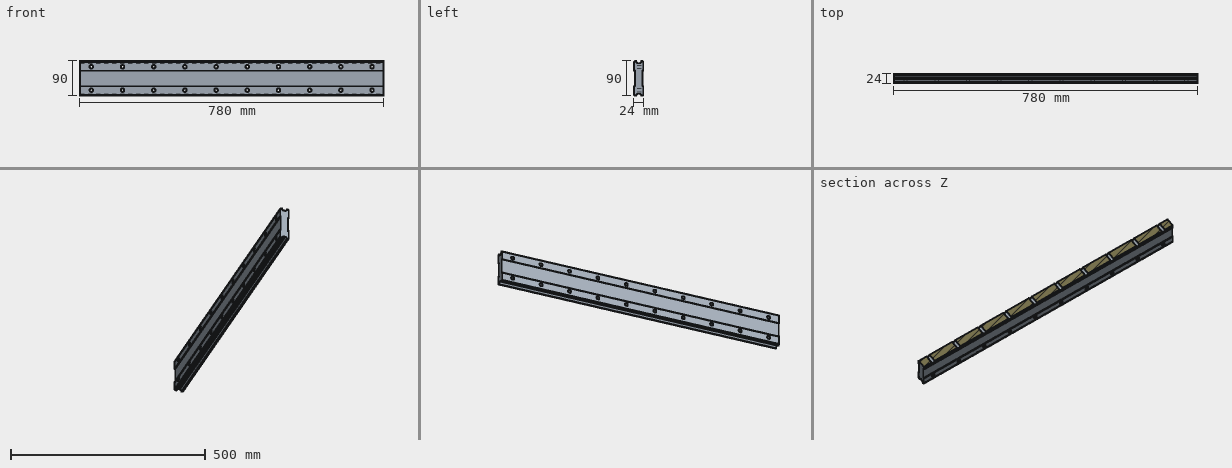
import cadquery as cq

length = 780.0
thickness = 24.0
height = 90.0

bevel = 2.7

recess_height = 40.0
recess_depth = 1.95

groove_mouth_width = 13.0
groove_floor_width = 5.0
groove_depth = 5.5
groove_wall_radius = 5.85

hole_diameter = 8.5
hole_count = 10
hole_end_margin = 30.0
hole_row_spacing = 60.0


def bevelled_bar():
    """Plain bar along X, centred on the origin, with its long corners bevelled."""
    return cq.Workplane("XY").box(length, thickness, height).edges("|X").chamfer(bevel)


def face_recesses():
    """Shallow full-length channels in the front and back faces."""
    return (
        cq.Workplane("XY")
        .pushPoints([(0, -thickness / 2), (0, thickness / 2)])
        .box(length, 2 * recess_depth, recess_height)
    )


def edge_grooves():
    """Full-length grooves in the top edge and, mirrored, in the bottom edge."""
    mouth_side = groove_mouth_width / 2
    floor_side = groove_floor_width / 2
    top = height / 2
    floor = top - groove_depth
    top_groove = (
        cq.Workplane("YZ")
        .moveTo(mouth_side, top)
        .lineTo(-mouth_side, top)
        .radiusArc((-floor_side, floor), -groove_wall_radius)
        .lineTo(floor_side, floor)
        .radiusArc((mouth_side, top), -groove_wall_radius)
        .close()
        .extrude(length / 2, both=True)
    )
    return top_groove.union(top_groove.mirror("XY"))


def mounting_holes():
    """Cylinders crossing the full thickness, in two rows spread evenly along the rail."""
    hole_pitch = (length - 2 * hole_end_margin) / (hole_count - 1)
    return (
        cq.Workplane("XZ", origin=(0, thickness / 2, 0))
        .rarray(hole_pitch, hole_row_spacing, hole_count, 2)
        .circle(hole_diameter / 2)
        .extrude(thickness)
    )


result = bevelled_bar().cut(face_recesses()).cut(edge_grooves()).cut(mounting_holes())